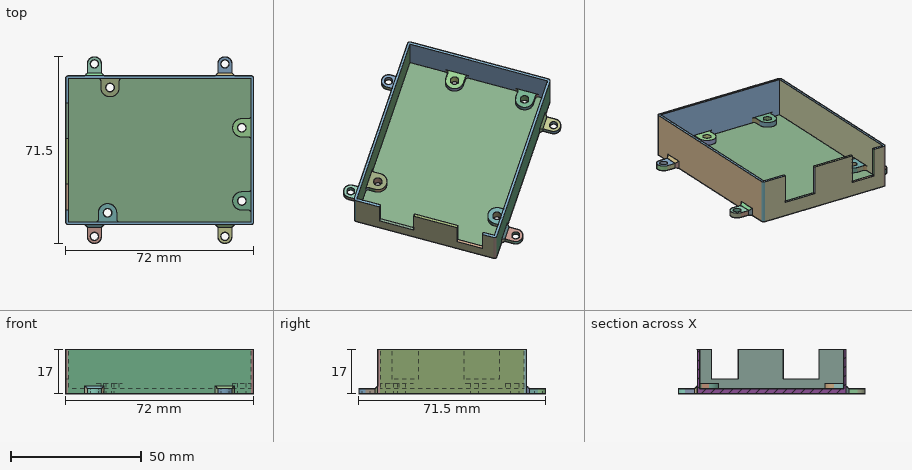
import cadquery as cq

LENGTH = 72.0
WIDTH = 57.0
HEIGHT = 17.0
WALL = 1.0
FLOOR = 2.0
CORNER_RADIUS = 1.0
INNER_LENGTH = LENGTH - 2 * WALL
INNER_WIDTH = WIDTH - 2 * WALL

OPENINGS = [(11.3, 13.6), (-17.9, 10.1)]
OPENING_SILL = 5.7

OVERALL_WIDTH = 71.5
TAB_X = 25.0
TAB_REACH = (OVERALL_WIDTH - WIDTH) / 2
TAB_WIDTH = 5.5
TAB_THICKNESS = 2.0
TAB_HOLE = 3.0
TAB_CHAMFER = 1.0

BOSS_RADIUS = 3.5
BOSS_HEIGHT = 2.0
BOSS_HOLE = 3.2
BOSS_FILLET = 1.0
BOSS_PLACES = [
    (-19.0, INNER_WIDTH / 2, 0),
    (-19.95, -INNER_WIDTH / 2, 180),
    (INNER_LENGTH / 2, 8.6, -90),
    (INNER_LENGTH / 2, -19.45, -90),
]

Z_AXIS = ((0, 0, 0), (0, 0, 1))


def make_tray():
    shell = cq.Workplane("XY").box(LENGTH, WIDTH, HEIGHT, centered=(True, True, False))
    shell = shell.edges("|Z").fillet(CORNER_RADIUS)
    cavity = (
        cq.Workplane("XY", origin=(0, 0, FLOOR))
        .rect(INNER_LENGTH, INNER_WIDTH)
        .extrude(HEIGHT - FLOOR)
    )
    return shell.cut(cavity)


def make_opening(centre_y, width):
    return (
        cq.Workplane("XY", origin=((WALL - LENGTH) / 2, centre_y, OPENING_SILL))
        .rect(WALL, width)
        .extrude(HEIGHT - OPENING_SILL)
    )


def make_tab():
    """Tab pointing along +Y from a wall face at Y = 0, with a tapered root."""
    radius = TAB_WIDTH / 2
    hole_y = TAB_REACH - radius
    plate = (
        cq.Workplane("XY")
        .moveTo(-radius, 0)
        .lineTo(-radius, hole_y)
        .threePointArc((0, TAB_REACH), (radius, hole_y))
        .lineTo(radius, 0)
        .close()
        .extrude(TAB_THICKNESS)
    )
    root = (
        cq.Workplane("XZ")
        .rect(TAB_WIDTH + 2 * TAB_CHAMFER, 2 * (TAB_THICKNESS + TAB_CHAMFER))
        .workplane(offset=-TAB_CHAMFER)
        .rect(TAB_WIDTH, 2 * TAB_THICKNESS)
        .loft(ruled=True)
    )
    below_base = cq.Workplane("XY").rect(2 * TAB_WIDTH, 2 * TAB_REACH).extrude(-HEIGHT)
    hole = cq.Workplane("XY").center(0, hole_y).circle(TAB_HOLE / 2).extrude(TAB_THICKNESS)
    return plate.union(root).cut(below_base).cut(hole)


def make_boss():
    """Boss pointing along -Y from a wall face at Y = 0, blended into that wall."""
    foot = BOSS_RADIUS + BOSS_FILLET
    inset = BOSS_FILLET * (1 - 0.5 ** 0.5)
    return (
        cq.Workplane("XY")
        .moveTo(-foot, 0)
        .threePointArc((-BOSS_RADIUS - inset, -inset), (-BOSS_RADIUS, -BOSS_FILLET))
        .lineTo(-BOSS_RADIUS, -BOSS_RADIUS)
        .threePointArc((0, -2 * BOSS_RADIUS), (BOSS_RADIUS, -BOSS_RADIUS))
        .lineTo(BOSS_RADIUS, -BOSS_FILLET)
        .threePointArc((BOSS_RADIUS + inset, -inset), (foot, 0))
        .close()
        .extrude(BOSS_HEIGHT)
    )


def make_boss_hole():
    """Hole through a boss and the floor, relative to the boss's wall point."""
    return (
        cq.Workplane("XY")
        .center(0, -BOSS_RADIUS)
        .circle(BOSS_HOLE / 2)
        .extrude(FLOOR + BOSS_HEIGHT)
    )


result = make_tray()

for centre_y, width in OPENINGS:
    result = result.cut(make_opening(centre_y, width))

for turn in (0, 180):
    for x in (-TAB_X, TAB_X):
        tab = make_tab().translate((x, WIDTH / 2, 0))
        result = result.union(tab.rotate(*Z_AXIS, turn))

for x, y, turn in BOSS_PLACES:
    boss = make_boss().rotate(*Z_AXIS, turn).translate((x, y, FLOOR))
    hole = make_boss_hole().rotate(*Z_AXIS, turn).translate((x, y, 0))
    result = result.union(boss).cut(hole)